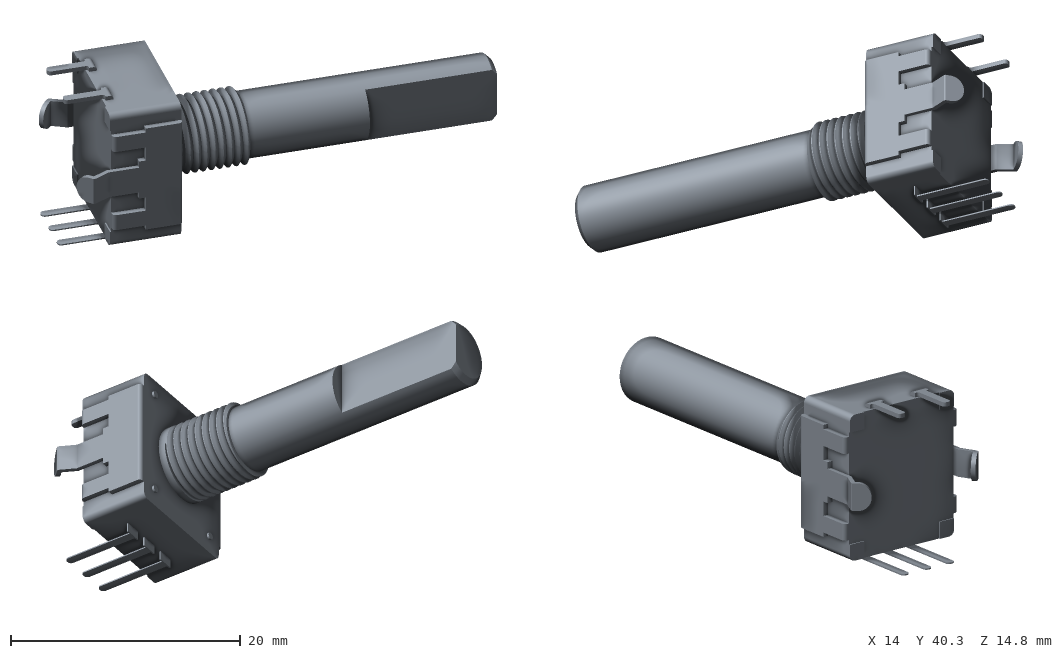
import cadquery as cq
import math


shaft_diameter = 6.0
shaft_tip_y = 30.0
shaft_tip_chamfer = 0.5
flat_length = 12.0
flat_offset = 1.55
bushing_diameter = 7.0
bushing_length = 7.0
collar_length = 0.65
groove_start_y = 0.45
groove_turns = 8.75
thread_pitch = (bushing_length - groove_start_y) / groove_turns
thread_depth = 0.45
groove_fill = 0.9
groove_overshoot = 0.05

housing_width = 11.53
housing_height = 13.45
housing_depth = 6.35
corner_radius = 0.55
foot_inner_x = 4.2
foot_height = 0.12
rivet_radius = 0.32
rivet_height = 0.2
rivet_x = 4.25
rivet_z = 5.08

sheet = 0.52
bracket_width = housing_width + 2 * sheet
bracket_height = 10.3
bend_radius = 0.35
cheek_depth = 3.4
tab_inner_z = 3.22
tab_outer_z = 4.75
tab_reach_x = 3.9
shoulder_depth = 4.0
shoulder_half_width = 1.9
leg_width = 2.55
leg_tip_radius = 1.2
leg_thickness = 0.4
overall_width = 14.0
leg_bulge_x = overall_width / 2
leg_bend_depth = 6.75
leg_bulge_depth = 8.2
leg_bulge_flat = 0.15
leg_tip_depth = 9.5
leg_tip_x = 5.75
leg_tip_run = 0.3
leg_tip_rise = 0.32
leg_bulge_thickness = 0.45
leg_inner_bend_shift = 0.12

terminal_pitch = 2.5
terminal_width = 1.55
pin_width = 0.8
overall_length = 40.3
lower_pin_end = overall_length - shaft_tip_y
lower_pin_tip_radius = 0.35
lower_sheet = 0.12
lower_drop = 0.9
lower_terminal_depth = 3.4
upper_sheet = 0.4
upper_pin_end = 9.75
upper_pin_tip_radius = 0.32
upper_terminal_depth = 5.4
upper_bend_radius = 0.35
upper_neck_depth = 6.13
upper_neck_radius = 0.2


def box(x_range, y_range, z_range):
    """Box between two limits along each axis, given in either order."""
    (x0, x1), (y0, y1), (z0, z1) = x_range, y_range, z_range
    return (
        cq.Workplane("XY")
        .box(abs(x1 - x0), abs(y1 - y0), abs(z1 - z0))
        .translate(((x0 + x1) / 2, (y0 + y1) / 2, (z0 + z1) / 2))
    )


def rod(diameter, y_start, y_end):
    """Round bar on the Y axis."""
    return (
        cq.Workplane("XZ", origin=(0, y_start, 0))
        .circle(diameter / 2)
        .extrude(y_start - y_end)
    )


def make_shaft():
    shaft = rod(shaft_diameter, -sheet, shaft_tip_y).faces(">Y").chamfer(shaft_tip_chamfer)
    radius = shaft_diameter / 2
    flat = box((flat_offset, radius), (shaft_tip_y - flat_length, shaft_tip_y), (-radius, radius))
    return shaft.cut(flat)


def make_bushing():
    """Bushing with a right-hand V groove that runs out of its free end."""
    radius = bushing_diameter / 2
    root_radius = radius - thread_depth
    half_opening = groove_fill * thread_pitch / 2 * (1 + groove_overshoot / thread_depth)
    helix = cq.Wire.makeHelix(thread_pitch, thread_pitch, root_radius)
    one_turn = (
        cq.Workplane("XZ")
        .moveTo(root_radius, 0)
        .lineTo(radius + groove_overshoot, -half_opening)
        .lineTo(radius + groove_overshoot, half_opening)
        .close()
        .sweep(cq.Workplane(obj=helix), isFrenet=True)
        .rotate((0, 0, 0), (1, 0, 0), -90)
    )
    turns = math.ceil(groove_turns + 0.5)
    bushing = rod(bushing_diameter, -sheet, bushing_length)
    for turn in range(turns):
        bushing = bushing.cut(one_turn.translate((0, groove_start_y + turn * thread_pitch, 0)))
    return bushing.union(rod(bushing_diameter, -sheet, collar_length))


def make_housing_block():
    half_width = housing_width / 2
    half_height = housing_height / 2
    back = housing_depth + foot_height
    block = box((-half_width, half_width), (-back, 0), (-half_height, half_height))
    block = block.edges("|Y").fillet(corner_radius)
    upright = box((-foot_inner_x, foot_inner_x), (-back, -housing_depth), (-half_height, half_height))
    crosswise = box(
        (-half_width, half_width), (-back, -housing_depth), (-bracket_height / 2, bracket_height / 2)
    )
    return block.cut(upright).cut(crosswise)


def make_rivets():
    """Four rivet heads that stand proud of the front plate."""
    return (
        cq.Workplane("XZ", origin=(0, rivet_height, 0))
        .rect(2 * rivet_x, 2 * rivet_z, forConstruction=True)
        .vertices()
        .circle(rivet_radius)
        .extrude(rivet_height + sheet)
    )


def make_lower_terminal(x):
    """Strip that drops from the housing and turns back into a narrow pin."""
    top = -housing_height / 2
    bottom = top - lower_drop
    drop = box(
        (x - terminal_width / 2, x + terminal_width / 2),
        (-lower_terminal_depth - lower_sheet, -lower_terminal_depth),
        (bottom, top),
    )
    pin = (
        box(
            (x - pin_width / 2, x + pin_width / 2),
            (-lower_pin_end, -lower_terminal_depth),
            (bottom, bottom + lower_sheet),
        )
        .edges("|Z and <Y")
        .fillet(lower_pin_tip_radius)
    )
    return drop.union(pin)


def make_upper_terminal(x):
    """Pin that lies on the plane of the top face, with a wide bent root."""
    bottom = housing_height / 2
    top = bottom + upper_sheet
    root = box(
        (x - terminal_width / 2, x + terminal_width / 2),
        (-upper_neck_depth, -upper_terminal_depth),
        (bottom, top),
    )
    pin = (
        box(
            (x - pin_width / 2, x + pin_width / 2),
            (-upper_pin_end, -upper_neck_depth),
            (bottom, top),
        )
        .edges("|Z and <Y")
        .fillet(upper_pin_tip_radius)
    )
    terminal = root.union(pin)
    neck_corners = cq.selectors.BoxSelector(
        (x - terminal_width / 2 + upper_neck_radius, -upper_neck_depth - upper_neck_radius, bottom),
        (x + terminal_width / 2 - upper_neck_radius, -upper_neck_depth + upper_neck_radius, top),
    )
    terminal = terminal.edges("|Z").edges(neck_corners).fillet(upper_neck_radius)
    return terminal.edges(">Y and >Z").fillet(upper_bend_radius)


def make_snap_leg():
    """Right-hand snap leg: bends outward and then back inward to a rounded tip."""
    outer_x = bracket_width / 2
    inner_x = outer_x - leg_thickness
    leg = (
        cq.Workplane("XY", origin=(0, 0, -leg_width / 2))
        .moveTo(outer_x, -cheek_depth)
        .lineTo(outer_x, -leg_bend_depth)
        .lineTo(leg_bulge_x, -leg_bulge_depth)
        .lineTo(leg_bulge_x, -leg_bulge_depth - leg_bulge_flat)
        .lineTo(leg_tip_x, -leg_tip_depth)
        .lineTo(leg_tip_x - leg_tip_run, -leg_tip_depth + leg_tip_rise)
        .lineTo(leg_bulge_x - leg_bulge_thickness, -leg_bulge_depth)
        .lineTo(inner_x, -leg_bend_depth - leg_inner_bend_shift)
        .lineTo(inner_x, -cheek_depth)
        .close()
        .extrude(leg_width)
    )
    return leg.faces("<Y").edges("#Z").fillet(leg_tip_radius)


def make_bracket_blank():
    """Bent sheet before the openings in its front plate are cut."""
    half_width = bracket_width / 2
    half_height = bracket_height / 2
    bracket = box((-half_width, half_width), (-cheek_depth, 0), (-half_height, half_height))
    bracket = bracket.edges("|Z and >Y").fillet(bend_radius)
    inner = housing_width / 2
    bracket = bracket.cut(box((-inner, inner), (-cheek_depth, -sheet), (-half_height, half_height)))
    leg = make_snap_leg()
    for side in (-1, 1):
        shoulder = box(
            (side * inner, side * half_width),
            (-shoulder_depth, -cheek_depth),
            (-shoulder_half_width, shoulder_half_width),
        )
        bracket = bracket.union(shoulder)
        bracket = bracket.union(leg if side > 0 else leg.mirror("YZ"))
        for end in (-1, 1):
            bracket = bracket.union(make_tab(side, end))
    return bracket


def make_tab(side, end):
    """Tab that runs along the cheek and folds over the back of the housing."""
    half_width = bracket_width / 2
    z_range = (end * tab_inner_z, end * tab_outer_z)
    tab = box((side * tab_reach_x, side * half_width), (-housing_depth, -cheek_depth), z_range)
    outer_corner = "|Z and <Y and >X" if side > 0 else "|Z and <Y and <X"
    tab = tab.edges(outer_corner).fillet(bend_radius)
    fold = sheet - housing_depth
    under = box((side * tab_reach_x, side * housing_width / 2), (fold, -cheek_depth), z_range)
    return tab.cut(under)


def make_encoder(bracket_space):
    """Housing with shaft, bushing, rivets and terminals, recessed for the bracket."""
    encoder = make_housing_block().cut(bracket_space)
    for x in (-terminal_pitch, 0, terminal_pitch):
        encoder = encoder.union(make_lower_terminal(x))
    for x in (-terminal_pitch, terminal_pitch):
        encoder = encoder.union(make_upper_terminal(x))
    return encoder.union(make_rivets()).union(make_shaft()).union(make_bushing())


bracket_blank = make_bracket_blank()
encoder = make_encoder(bracket_blank)
bracket = bracket_blank.cut(rod(bushing_diameter, -sheet, 0)).cut(make_rivets())
result = cq.Compound.makeCompound([encoder.solids().val(), bracket.solids().val()])